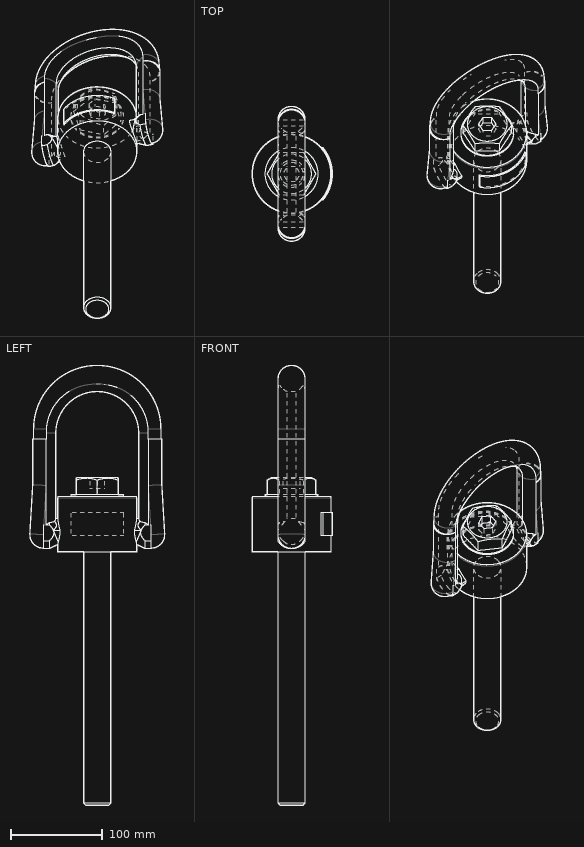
import cadquery as cq
import math

STUD_DIAMETER = 30.0
STUD_LENGTH = 277.5
STUD_CHAMFER = 2.5

BODY_RADIUS = 43.5
BODY_HEIGHT = 60.5
BODY_CHAMFER_WIDTH = 0.5
BODY_CHAMFER_HEIGHT = 2.0

PLATE_RADIUS = 45.0
PLATE_WIDTH = 58.0
PLATE_BOTTOM = 18.0
PLATE_TOP = 43.0

FLATS_TO_CORNERS = math.cos(math.pi / 6)
WASHER_DIAMETER = 58.0
WASHER_HEIGHT = 2.0
HEAD_ACROSS_FLATS = 46.5
HEAD_HEIGHT = 19.0
HEAD_TOP_DIAMETER = 43.5
HEAD_CHAMFER_ANGLE = 30
SOCKET_ACROSS_FLATS = 16.5
SOCKET_DEPTH = 12.0

OVERALL_LENGTH = 482.0
RING_WIDTH = 148.0
RING_TUBE_RADIUS = 15.0
RING_BEND_RADIUS = 55.0
INNER_ARCH_RADIUS = 45.5
INNER_ARCH_TOP = 175.5

LEG_TOP = 123.5
LEG_LEAN_START = 73.0
LEG_END = 19.0
LEG_TOP_OFFSET = 56.0
RIB_HALF_WIDTH = 5.0
RIB_FLANK_BULGE = 1.0

PIN_HEIGHT = 23.5
PIN_RIB_HEIGHT = 13.0
PIN_TIP = 40.5
CONE_HEIGHT = 20.5
CONE_RADIUS = 17.5
CONE_START = 52.5
CONE_TIP_RADIUS = 11.5

ring_top = OVERALL_LENGTH - STUD_LENGTH
bend_height = ring_top - RING_TUBE_RADIUS - RING_BEND_RADIUS
arch_height = INNER_ARCH_TOP - INNER_ARCH_RADIUS
leg_end_offset = RING_WIDTH / 2 - RING_TUBE_RADIUS
washer_top = BODY_HEIGHT + WASHER_HEIGHT
head_top = washer_top + HEAD_HEIGHT


def make_stud():
    stud = cq.Workplane("XY").circle(STUD_DIAMETER / 2).extrude(-STUD_LENGTH)
    return stud.faces("<Z").chamfer(STUD_CHAMFER)


def make_body():
    body = cq.Workplane("XY").circle(BODY_RADIUS).extrude(BODY_HEIGHT)
    body = body.faces(">Z").chamfer(BODY_CHAMFER_HEIGHT, BODY_CHAMFER_WIDTH)
    plate_height = PLATE_TOP - PLATE_BOTTOM
    plate = cq.Workplane("XY", origin=(0, 0, PLATE_BOTTOM)).circle(PLATE_RADIUS).extrude(plate_height)
    window = (
        cq.Workplane("XY", origin=(PLATE_RADIUS / 2, 0, PLATE_BOTTOM))
        .rect(PLATE_RADIUS, PLATE_WIDTH)
        .extrude(plate_height)
    )
    return body.union(plate.intersect(window))


def hexagon(across_flats, height):
    """Hexagon outline with corners on the X axis."""
    return cq.Workplane("XY", origin=(0, 0, height)).polygon(6, across_flats / FLATS_TO_CORNERS)


def make_head():
    washer_base = cq.Workplane("XY", origin=(0, 0, BODY_HEIGHT))
    washer = washer_base.circle(WASHER_DIAMETER / 2).extrude(WASHER_HEIGHT)
    head = hexagon(HEAD_ACROSS_FLATS, washer_top).extrude(HEAD_HEIGHT)
    corner_radius = HEAD_ACROSS_FLATS / FLATS_TO_CORNERS / 2
    top_radius = HEAD_TOP_DIAMETER / 2
    drop = (corner_radius - top_radius) * math.tan(math.radians(HEAD_CHAMFER_ANGLE))
    envelope = (
        cq.Workplane("XZ")
        .moveTo(0, washer_top)
        .lineTo(corner_radius, washer_top)
        .lineTo(corner_radius, head_top - drop)
        .lineTo(top_radius, head_top)
        .lineTo(0, head_top)
        .close()
        .revolve(360, (0, 0, 0), (0, 1, 0))
    )
    socket = hexagon(SOCKET_ACROSS_FLATS, head_top).extrude(-SOCKET_DEPTH)
    return washer.union(head.intersect(envelope)).cut(socket)


def rib_profile(workplane):
    """Open tapered inner outline of the ring section, from one side edge to the other."""
    root = LEG_TOP_OFFSET
    tip = INNER_ARCH_RADIUS
    mid_width = (RING_TUBE_RADIUS + RIB_HALF_WIDTH) / 2 + RIB_FLANK_BULGE
    mid_offset = (root + tip) / 2 - RIB_FLANK_BULGE
    return (
        workplane
        .moveTo(-RING_TUBE_RADIUS, root)
        .threePointArc((-mid_width, mid_offset), (-RIB_HALF_WIDTH, tip))
        .lineTo(RIB_HALF_WIDTH, tip)
        .threePointArc((mid_width, mid_offset), (RING_TUBE_RADIUS, root))
    )


def inner_space(workplane):
    """Closed outline from the ring centre out to the tapered inner outline."""
    return rib_profile(workplane).lineTo(RING_TUBE_RADIUS, 0).lineTo(-RING_TUBE_RADIUS, 0).close()


def make_bow():
    """Round bar bent over the top, with its inner side trimmed to the tapered outline."""
    path = (
        cq.Workplane("YZ")
        .moveTo(-RING_BEND_RADIUS, LEG_TOP)
        .lineTo(-RING_BEND_RADIUS, bend_height)
        .threePointArc((0, bend_height + RING_BEND_RADIUS), (RING_BEND_RADIUS, bend_height))
        .lineTo(RING_BEND_RADIUS, LEG_TOP)
    )
    bow = cq.Workplane("XY", origin=(0, -RING_BEND_RADIUS, LEG_TOP)).circle(RING_TUBE_RADIUS).sweep(path)
    arch_base = cq.Workplane("XY", origin=(0, 0, arch_height))
    arch = inner_space(arch_base).revolve(180, (0, 0, 0), (1, 0, 0))
    straight = inner_space(cq.Workplane("XY", origin=(0, 0, LEG_TOP))).extrude(arch_height - LEG_TOP)
    return bow.cut(arch).cut(straight).cut(straight.mirror("XZ"))


def half_round(workplane, length):
    """Outer half of the leg bar."""
    return (
        workplane
        .moveTo(RING_TUBE_RADIUS, 0)
        .threePointArc((0, RING_TUBE_RADIUS), (-RING_TUBE_RADIUS, 0))
        .close()
        .extrude(length)
    )


def make_shank():
    """Leg on the +Y side: straight above, leaning outward below, with an upright inner rib."""
    upper_start = cq.Workplane("XY", origin=(0, LEG_TOP_OFFSET, LEG_LEAN_START))
    upper = half_round(upper_start, LEG_TOP - LEG_LEAN_START)
    lean = leg_end_offset - LEG_TOP_OFFSET
    drop = LEG_LEAN_START - LEG_END
    lean_plane = cq.Plane(origin=(0, leg_end_offset, LEG_END), xDir=(1, 0, 0), normal=(0, -lean, drop))
    lower = half_round(cq.Workplane(lean_plane), math.hypot(lean, drop))
    wedge = (
        cq.Workplane("YZ")
        .moveTo(LEG_TOP_OFFSET, LEG_END)
        .lineTo(leg_end_offset, LEG_END)
        .lineTo(LEG_TOP_OFFSET, LEG_LEAN_START)
        .close()
        .extrude(RING_TUBE_RADIUS, both=True)
    )
    rib = rib_profile(cq.Workplane("XY", origin=(0, 0, LEG_END))).close().extrude(LEG_TOP - LEG_END)
    return rib.union(upper).union(wedge).union(lower)


def make_pin():
    """Ball end of the leg, the pin that enters the body and the cone that thickens its corner."""
    ball = cq.Workplane("XY").sphere(RING_TUBE_RADIUS).translate((0, leg_end_offset, LEG_END))
    pin = (
        cq.Workplane("XZ", origin=(0, leg_end_offset, PIN_HEIGHT))
        .moveTo(-RING_TUBE_RADIUS, 0)
        .threePointArc((0, -RING_TUBE_RADIUS), (RING_TUBE_RADIUS, 0))
        .lineTo(RIB_HALF_WIDTH, PIN_RIB_HEIGHT)
        .lineTo(-RIB_HALF_WIDTH, PIN_RIB_HEIGHT)
        .close()
        .extrude(leg_end_offset - PIN_TIP)
    )
    cone = (
        cq.Workplane("YZ", origin=(0, 0, CONE_HEIGHT))
        .moveTo(PIN_TIP, 0)
        .lineTo(PIN_TIP, CONE_TIP_RADIUS)
        .lineTo(CONE_START, CONE_RADIUS)
        .lineTo(leg_end_offset, CONE_RADIUS)
        .lineTo(leg_end_offset, 0)
        .close()
        .revolve(360, (0, 0, 0), (1, 0, 0))
    )
    flats = cq.Workplane("XY").box(2 * RING_TUBE_RADIUS, RING_WIDTH, RING_WIDTH)
    return ball.union(pin).union(cone.intersect(flats))


leg = make_shank().union(make_pin())
result = (
    make_body()
    .union(make_stud())
    .union(make_head())
    .union(make_bow())
    .union(leg)
    .union(leg.mirror("XZ"))
)